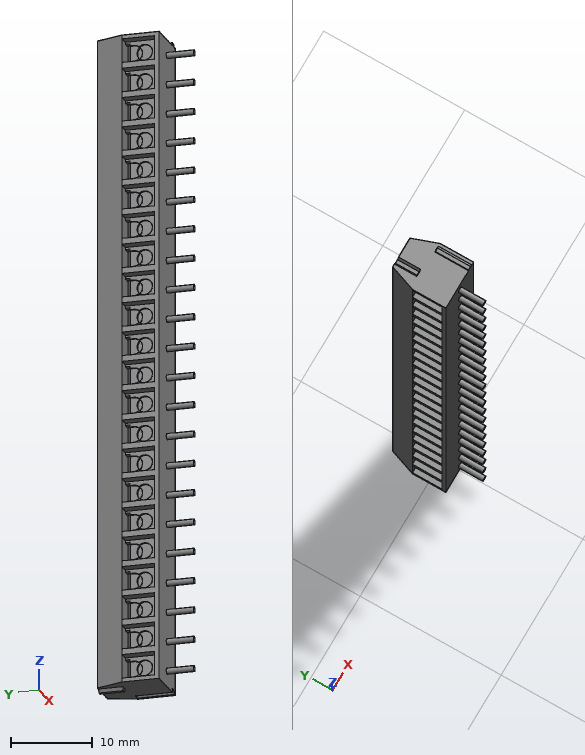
import cadquery as cq


pole_count = 22
pole_span = 80.0
pitch = pole_span / (pole_count - 1)
body_height = 84.05
body_width = 6.8
body_depth = 8.3
shoulder_depth = 4.75
back_width = 4.2

pin_diameter = 0.8
pin_length = 3.5

front_wall = 0.6
pocket_height = 3.05
pocket_depth = 1.35
pocket_length = shoulder_depth - front_wall
floor_x = -body_width / 2 + pocket_depth

opening_radius = 1.0
opening_depth = 0.25
wire_opening_y = 2.3
screw_opening_y = 3.65
overlap_depth = 2 * opening_depth
ramp_length = 0.6
ramp_depth = 1.1
ramp_height = 2.55

back_key_x = -1.2
back_key_root = 1.0
back_key_tip = 0.5
back_key_height = 0.4
back_key_length = 3.1
front_key_x = 2.1
front_key_root = 0.85
front_key_tip = 0.5
front_tongue_height = 0.3
front_groove_depth = 0.5

module_poles = [3] * 6 + [2] * 2
rib_x = 1.4
rib_width = 0.6
rib_projection = 0.25
rib_thickness = 0.2

top_z = body_height / 2
bottom_z = -top_z
pole_heights = [pole_span / 2 - pole * pitch for pole in range(pole_count)]


def make_body():
    outline = [
        (-body_width / 2, 0),
        (body_width / 2, 0),
        (body_width / 2, shoulder_depth),
        (back_width / 2, body_depth),
        (-back_width / 2, body_depth),
        (-body_width / 2, shoulder_depth),
    ]
    return cq.Workplane("XY", origin=(0, 0, bottom_z)).polyline(outline).close().extrude(body_height)


def make_pin(z):
    root_y = shoulder_depth / 2
    plane = cq.Workplane("XZ", origin=(0, root_y, z))
    return plane.circle(pin_diameter / 2).extrude(root_y + pin_length)


def corner_box(x, y, depth, length, height):
    """Box reaching +X and +Y from (x, y), centred on Z = 0."""
    block = cq.Workplane("XY").box(depth, length, height, centered=(False, False, True))
    return block.translate((x, y, 0))


def opening_disc(y, depth):
    return cq.Workplane("YZ", origin=(floor_x, 0, 0)).center(y, 0).circle(opening_radius).extrude(depth)


def make_pocket_cutter():
    """Everything removed for one pole, centred on Z = 0."""
    pocket = corner_box(-body_width / 2, front_wall, pocket_depth, pocket_length, pocket_height)

    wire_opening = opening_disc(wire_opening_y, opening_depth)
    tail_length = shoulder_depth - screw_opening_y
    slot_tail = corner_box(floor_x, screw_opening_y, opening_depth, tail_length, 2 * opening_radius)
    screw_opening = opening_disc(screw_opening_y, opening_depth).union(slot_tail)
    overlap = opening_disc(wire_opening_y, overlap_depth).intersect(
        opening_disc(screw_opening_y, overlap_depth)
    )

    ramp_outline = [
        (floor_x, shoulder_depth - ramp_length),
        (floor_x + opening_depth, shoulder_depth - ramp_length),
        (floor_x + ramp_depth, shoulder_depth),
        (floor_x, shoulder_depth),
    ]
    ramp = cq.Workplane("XY", origin=(0, 0, -ramp_height / 2)).polyline(ramp_outline).close()
    ramp = ramp.extrude(ramp_height)

    return pocket.union(wire_opening).union(screw_opening).union(overlap).union(ramp)


def make_back_key(end_z):
    """Tapered key reaching down from end_z, ending at the back face."""
    outline = [
        (back_key_x - back_key_root / 2, end_z),
        (back_key_x + back_key_root / 2, end_z),
        (back_key_x + back_key_tip / 2, end_z - back_key_height),
        (back_key_x - back_key_tip / 2, end_z - back_key_height),
    ]
    return cq.Workplane("XZ", origin=(0, body_depth, 0)).polyline(outline).close().extrude(back_key_length)


def make_front_key(end_z, height):
    """Key reaching up from end_z along the straight side, with its outer flank sloped."""
    outline = [
        (front_key_x, end_z),
        (front_key_x + front_key_root, end_z),
        (front_key_x + front_key_tip, end_z + height),
        (front_key_x, end_z + height),
    ]
    return cq.Workplane("XZ", origin=(0, shoulder_depth, 0)).polyline(outline).close().extrude(shoulder_depth)


def make_rib(z):
    rib = cq.Workplane("XY").box(rib_width, 2 * rib_projection, rib_thickness)
    return rib.translate((rib_x, body_depth, z))


result = make_body()

result = result.cut(make_back_key(top_z)).cut(make_front_key(bottom_z, front_groove_depth))
result = result.union(make_back_key(bottom_z)).union(make_front_key(top_z, front_tongue_height))

pocket_cutter = make_pocket_cutter()
for pole_z in pole_heights:
    result = result.cut(pocket_cutter.translate((0, 0, pole_z)))
    result = result.union(make_pin(pole_z))

first_pole = 0
for poles in module_poles:
    for pole in range(first_pole, first_pole + poles - 1):
        result = result.union(make_rib(pole_heights[pole] - pitch / 2))
    first_pole += poles